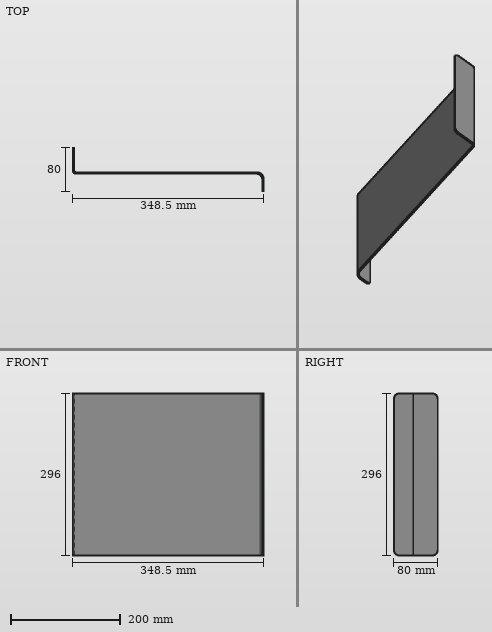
import cadquery as cq

width = 348.5
height = 296.0
depth = 80.0

thickness = 3.0
left_inner_radius = 3.0
right_inner_radius = 10.0
left_outer_radius = left_inner_radius + thickness
right_outer_radius = right_inner_radius + thickness

left_flange_length = 48.0
corner_radius = 10.0

left = -width / 2
right = width / 2
back = left_flange_length
front = back - depth


def bent_sheet():
    """Extrude the Z-shaped profile of the panel and its two flanges."""
    return (
        cq.Workplane("XY")
        .workplane(offset=-height / 2)
        .moveTo(left, back)
        .lineTo(left, left_outer_radius)
        .radiusArc((left + left_outer_radius, 0), -left_outer_radius)
        .lineTo(right - right_outer_radius, 0)
        .radiusArc((right - thickness, -right_inner_radius), right_inner_radius)
        .lineTo(right - thickness, front)
        .lineTo(right, front)
        .lineTo(right, -right_inner_radius)
        .radiusArc((right - right_outer_radius, thickness), -right_outer_radius)
        .lineTo(left + left_outer_radius, thickness)
        .radiusArc((left + thickness, left_outer_radius), left_inner_radius)
        .lineTo(left + thickness, back)
        .close()
        .extrude(height)
    )


def round_flange_corners(sheet):
    """Round the top and bottom corners at the free end of each flange."""
    for free_end in (">Y", "<Y"):
        sheet = sheet.faces(free_end).edges("|X").fillet(corner_radius)
    return sheet


result = round_flange_corners(bent_sheet())